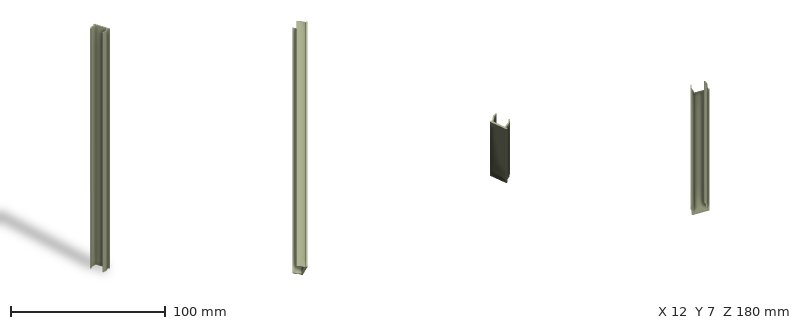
import cadquery as cq

length = 180.0
plate_width = 12.0
depth = 7.0

plate_thickness = 1.0
leg_thickness = 0.9
plate_corner_radius = 0.4
tip_radius = 0.4

root_offset = 5.0
bend_offset = 5.8
tip_offset = 5.0
tip_length = 2.3

back_y = depth / 2
plate_front_y = back_y - plate_thickness
plate_middle_y = back_y - plate_thickness / 2
tip_y = -depth / 2
bend_y = tip_y + tip_length


def make_plate():
    """Flat plate with rounded back corners, overhanging both legs."""
    plate = cq.Workplane("XY").box(plate_width, plate_thickness, length)
    plate = plate.edges("|Z and >Y").fillet(plate_corner_radius)
    return plate.translate((0, plate_middle_y, 0))


def make_leg(side):
    """Snap leg that leans outward to a bend, then inward to a rounded tip."""
    outer_face = [
        (root_offset, plate_middle_y),
        (root_offset, plate_front_y),
        (bend_offset, bend_y),
        (tip_offset, tip_y),
    ]
    inner_face = [(x - leg_thickness, y) for x, y in reversed(outer_face)]
    outline = [(side * x, y) for x, y in outer_face + inner_face]
    leg = cq.Workplane("XY").workplane(offset=-length / 2).polyline(outline).close().extrude(length)
    return leg.edges("|Z and <Y").fillet(tip_radius)


result = make_plate()
for side in (-1, 1):
    result = result.union(make_leg(side))